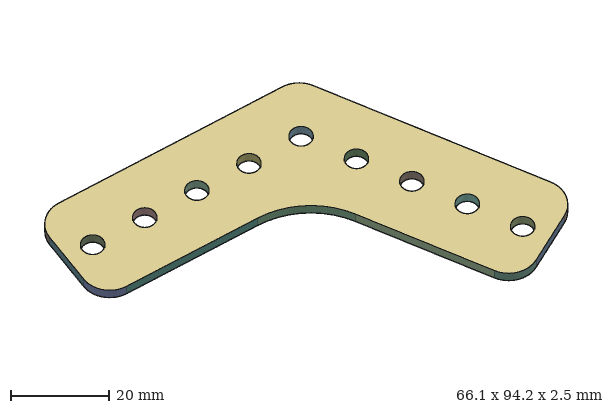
import cadquery as cq
import math

overall_length = 94.2
thickness = 2.5
hole_diameter = 5.0
bend_angle = 60.0
inner_bend_radius = 20.0
pitches_per_arm = 4

bend = math.radians(bend_angle)
pitches_below_bend = pitches_per_arm + 0.5
pitches_above_bend = pitches_per_arm * math.cos(bend) + 0.5 * math.sin(bend) + 0.5
hole_pitch = overall_length / (pitches_below_bend + pitches_above_bend)

half_width = hole_pitch
corner_radius = hole_pitch / 2
arm_length = (pitches_per_arm + 0.5) * hole_pitch
miter = half_width * math.tan(bend / 2)


def on_upper_arm(along, left):
    """Point at a distance along the upper arm and to the left of its centreline."""
    x = along * math.sin(bend) - left * math.cos(bend)
    y = along * math.cos(bend) + left * math.sin(bend)
    return (x, y)


outer_bend = (-half_width, miter)
inner_bend = (half_width, -miter)
plate = (
    cq.Workplane("XY")
    .polyline([
        (-half_width, -arm_length),
        (half_width, -arm_length),
        inner_bend,
        on_upper_arm(arm_length, -half_width),
        on_upper_arm(arm_length, half_width),
        outer_bend,
    ])
    .close()
    .extrude(thickness)
)

inner_edge = cq.selectors.NearestToPointSelector((*inner_bend, thickness / 2))
plate = plate.edges("|Z").edges(inner_edge).fillet(inner_bend_radius)


def is_sharp_corner(edge):
    """True for vertical edges that are not the ends of the inner bend arc."""
    centre = edge.Center()
    distance = math.hypot(centre.x - inner_bend[0], centre.y - inner_bend[1])
    return distance > inner_bend_radius


sharp_corners = plate.edges("|Z").filter(is_sharp_corner)
plate = sharp_corners.fillet(corner_radius)

hole_centres = [(0, 0)]
for step in range(1, pitches_per_arm + 1):
    distance = step * hole_pitch
    hole_centres.append((0, -distance))
    hole_centres.append(on_upper_arm(distance, 0))

holes = cq.Workplane("XY").pushPoints(hole_centres).circle(hole_diameter / 2).extrude(thickness)

result = plate.cut(holes)